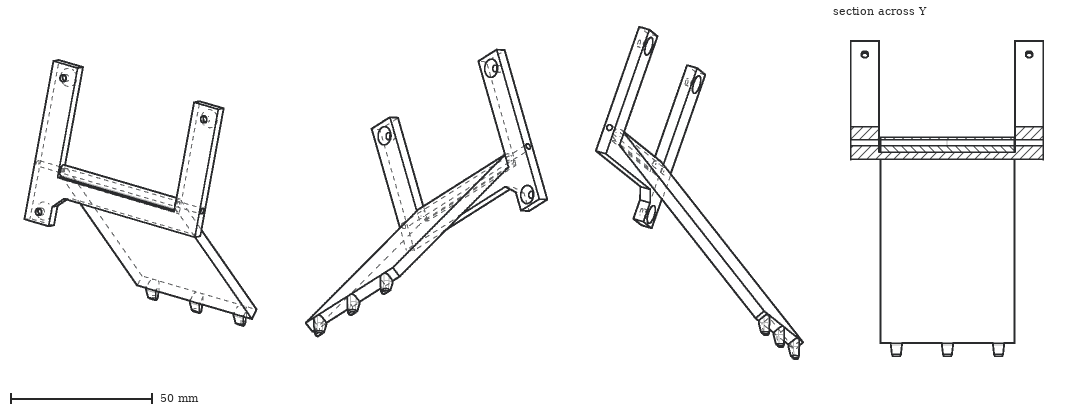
import cadquery as cq
import math


thickness = 4.0
half_thickness = thickness / 2
pivot_hole_diameter = 2.0

frame_width = 68.0
frame_height = 58.0
frame_lean = 20
arm_width = 10.0
pivot_height = 20.5
crossbar_bottom = 11.1
crossbar_top = 17.9
gusset_size = 4.0
mount_hole_diameter = 2.5
countersink_depth = 2.0
countersink_diameter = mount_hole_diameter + 2 * countersink_depth
mount_hole_top_inset = 5.0
mount_hole_bottom_inset = 4.0
opening_width = frame_width - 2 * arm_width

left_clearance = 0.5
right_clearance = 0.1
panel_width = opening_width - left_clearance - right_clearance
leg_center_x = (left_clearance - right_clearance) / 2
panel_length = 87.1
panel_swing = 37

foot_count = 3
foot_spacing = 18.0
foot_height = 4.7
foot_rim_height = 4.0
foot_knee_height = 0.7
foot_width = 4.0
foot_back_radius = 1.3
foot_knee_width = 3.2
foot_knee_depth = 2.5
foot_tip_width = 2.6
foot_tip_depth = 1.6
foot_tip_back_inset = 0.3


def lean_frame(body):
    return body.rotate((0, 0, 0), (1, 0, 0), -frame_lean)


def swing_panel(body):
    return body.rotate((0, 0, 0), (1, 0, 0), panel_swing)


def pivot_bore():
    return (
        cq.Workplane("YZ")
        .circle(pivot_hole_diameter / 2)
        .extrude(frame_width / 2, both=True)
    )


def panel_recess():
    """Slot that lets the swung panel sit against the back of the crossbar."""
    slot = cq.Workplane("XY").box(opening_width, thickness, panel_length, centered=(True, True, False))
    return swing_panel(slot.translate((0, 0, -panel_length)))


def mount_hole_cutter():
    """Screw hole along Y, countersunk from the back of the frame."""
    hole_radius = mount_hole_diameter / 2
    half_section = [
        (0, -half_thickness),
        (hole_radius, -half_thickness),
        (hole_radius, half_thickness - countersink_depth),
        (countersink_diameter / 2, half_thickness),
        (0, half_thickness),
    ]
    return cq.Workplane("XY").polyline(half_section).close().revolve(360, (0, 0, 0), (0, 1, 0))


def make_frame():
    outer = frame_width / 2
    inner = opening_width / 2
    bottom = -pivot_height
    top = bottom + frame_height
    bar_bottom = bottom + crossbar_bottom
    bar_top = bottom + crossbar_top
    outline = [
        (-outer, bottom),
        (-inner, bottom),
        (-inner, bar_bottom - gusset_size),
        (-inner + gusset_size, bar_bottom),
        (outer, bar_bottom),
        (outer, top),
        (inner, top),
        (inner, bar_top),
        (-inner, bar_top),
        (-inner, top),
        (-outer, top),
    ]
    plate = cq.Workplane("XZ").polyline(outline).close().extrude(half_thickness, both=True)

    hole_x = outer - arm_width / 2
    upper_hole_z = top - mount_hole_top_inset
    lower_hole_z = bottom + mount_hole_bottom_inset
    for x, z in [(-hole_x, upper_hole_z), (hole_x, upper_hole_z), (-hole_x, lower_hole_z)]:
        plate = plate.cut(mount_hole_cutter().translate((x, 0, z)))
    return lean_frame(plate).cut(panel_recess()).cut(pivot_bore())


def foot_section(width, depth, back_radius, back_y, z):
    """Horizontal outline of a foot with a square front and two rounded back corners."""
    half_width = width / 2
    front_y = back_y - depth
    arc_y = back_y - back_radius
    flat_x = half_width - back_radius
    bulge = back_radius * math.sqrt(0.5)
    return (
        cq.Workplane("XY", origin=(0, 0, z))
        .moveTo(-half_width, front_y)
        .lineTo(half_width, front_y)
        .lineTo(half_width, arc_y)
        .threePointArc((flat_x + bulge, arc_y + bulge), (flat_x, back_y))
        .lineTo(-flat_x, back_y)
        .threePointArc((-flat_x - bulge, arc_y + bulge), (-half_width, arc_y))
        .close()
    )


def make_foot():
    """Upright foot at X = 0: a straight neck under the panel, a taper and a chamfered tip."""
    swing = math.radians(panel_swing)
    end_y = panel_length * math.sin(swing)
    end_z = -panel_length * math.cos(swing)
    half_depth = half_thickness * math.cos(swing)
    half_rise = half_thickness * math.sin(swing)
    foot_depth = 2 * half_depth
    back_y = end_y + half_depth
    front_y = end_y - half_depth
    tip_z = end_z - half_rise - foot_height
    rim_z = tip_z + foot_rim_height
    knee_z = tip_z + foot_knee_height

    neck_side = [
        (front_y, rim_z),
        (back_y, rim_z),
        (back_y, end_z + half_rise),
        (front_y, end_z - half_rise),
    ]
    neck_trim = cq.Workplane("YZ").polyline(neck_side).close().extrude(foot_width, both=True)
    rim = foot_section(foot_width, foot_depth, foot_back_radius, back_y, rim_z)
    neck = rim.extrude(foot_height).intersect(neck_trim)

    rim_wire = foot_section(foot_width, foot_depth, foot_back_radius, back_y, rim_z).val()
    knee_wire = foot_section(foot_knee_width, foot_knee_depth, foot_back_radius, back_y, knee_z).val()
    tip_back_y = back_y - foot_tip_back_inset
    tip_radius = foot_back_radius - foot_tip_back_inset
    tip_wire = foot_section(foot_tip_width, foot_tip_depth, tip_radius, tip_back_y, tip_z).val()
    taper = cq.Solid.makeLoft([rim_wire, knee_wire], True)
    tip = cq.Solid.makeLoft([knee_wire, tip_wire], True)
    return neck.union(cq.Workplane(taper)).union(cq.Workplane(tip))


def make_leg():
    panel = (
        cq.Workplane("YZ")
        .moveTo(-half_thickness, -panel_length)
        .lineTo(half_thickness, -panel_length)
        .lineTo(half_thickness, 0)
        .threePointArc((0, half_thickness), (-half_thickness, 0))
        .close()
        .extrude(panel_width / 2, both=True)
    )
    leg = swing_panel(panel.translate((leg_center_x, 0, 0))).cut(pivot_bore())
    foot = make_foot()
    for index in range(foot_count):
        foot_x = leg_center_x + (index - (foot_count - 1) / 2) * foot_spacing
        leg = leg.union(foot.translate((foot_x, 0, 0)))
    return leg


frame = make_frame()
leg = make_leg()
result = cq.Compound.makeCompound([frame.solids().val(), leg.solids().val()])